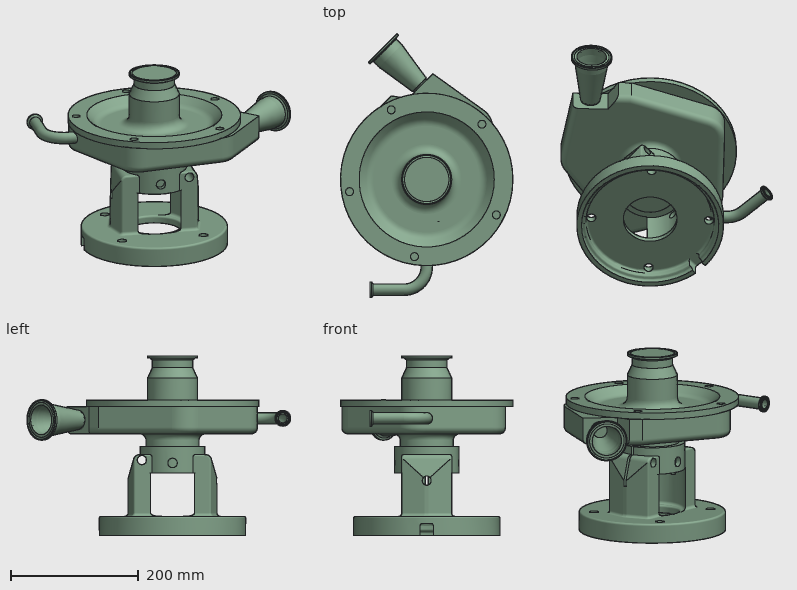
import cadquery as cq
import math

DIAGONAL = math.sqrt(0.5)


lantern_base_top = 30.0
collar_bottom = 97.5
leg_top = 127.0
collar_top = 139.5
casing_bottom = 159.0
flange_bottom = 201.5
flange_top = 212.0
top_of_pump = 281.5

overall_length = 413

flange_radius = 135.0
bolt_circle_radius = 122.3
bolt_hole_radius = 6.0
bolt_count = 5
first_bolt_angle = 45
side_offset = 115.2
corner_radius = 35.0
casing_fillet = 10.0
tangent_side_angle = 54.3
tangent_side_offset = 140.0
outlet_angle = 135
outlet_face_offset = 110.3
bevel_offset = 131.8
notch_side_offset = 120.5

dish_rim_radius = 105.7
dish_wall_foot_radius = 94.5
dish_floor_radius = 83.5
dish_depth = 15.5
dish_wall_angle = 45
neck_radius = 39.2
neck_fillet = 15.3

neck_shoulder = 246.5
neck_cone_top = 262.5
inlet_radius = 32.0

stub_radius = 41.7

tolerance = 0.5

outlet_axis_shift = 96.5
outlet_height = 181.0
outlet_face = 194
outlet_cone_start = 112.8
outlet_cone_end = 176.5
outlet_throat_radius = 13.2
outlet_small_radius = 15.3
outlet_large_radius = 25.0
outlet_ferrule_radius = 32.0
outlet_wall = 2.0
outlet_bore_shoulder = 181.0
outlet_bore_waist = 168.5
outlet_bore_waist_radius = 21.5

drain_height = 183.5
drain_radius = 9.0
drain_bore_radius = 7.0
drain_bend_radius = 35.5
drain_end_x = -89.0
drain_ferrule_radius = 12.5
drain_lip = 2.5

outlet_rim_y = (outlet_face + outlet_axis_shift + outlet_ferrule_radius) * DIAGONAL
drain_end_y = outlet_rim_y - overall_length + drain_ferrule_radius
drain_bend_y = drain_end_y + drain_bend_radius

ferrule_lip = 3.5
ferrule_taper = 3.5
groove_half_width = 1.45
groove_inset = 3.1

base_radius = 115.0
base_edge_fillet = 3.5
base_bolt_circle_radius = 92.0
base_bolt_radius = 7.0
base_bolt_count = 4
base_first_bolt_angle = 45
base_bore_radius = 42.0
base_bore_rounding = 3.5
recess_height = 18.5
recess_radius = 100.5
spigot_radius = 107.5
spigot_depth = 2.5
recess_round = 3.7
key_slot_width = 20.5
key_slot_fillet = 3.5

leg_half_width = 39.2
leg_corner_y = 60.5
leg_ridge_y = 70.0
leg_ridge_half_width = 3.5
leg_bore_radius = 52.0
leg_slope = 0.29
leg_slope_height = 122.0
leg_corner_fillet = 3.5
leg_top_fillet = 10.0
leg_foot_fillet = 5.0
leg_hole_height = 86.0
leg_hole_radius = 7.0

collar_radius = 51.0
collar_hole_height = 113.5
collar_hole_radius = 7.5
clamp_bolt_y = 48.0
clamp_bolt_height = 118.0
clamp_bolt_radius = 7.0
slit_width = 4


def polar(radius, angle):
    """Point at a radius and an angle in degrees."""
    return radius * math.cos(math.radians(angle)), radius * math.sin(math.radians(angle))


def crossing(angle_a, offset_a, angle_b, offset_b):
    """Point where two lines meet, each given by its normal's angle and its distance from the axis."""
    ax, ay = polar(1, angle_a)
    bx, by = polar(1, angle_b)
    det = ax * by - ay * bx
    return (offset_a * by - offset_b * ay) / det, (ax * offset_b - bx * offset_a) / det


def add_rounded_corner(sketch, angle_a, offset_a, angle_b, offset_b):
    """Run along side A to a corner arc that is tangent to sides A and B."""
    cx, cy = crossing(angle_a, offset_a - corner_radius, angle_b, offset_b - corner_radius)
    start, middle, end = [polar(corner_radius, a) for a in (angle_a, (angle_a + angle_b) / 2, angle_b)]
    sketch = sketch.lineTo(cx + start[0], cy + start[1])
    return sketch.threePointArc((cx + middle[0], cy + middle[1]), (cx + end[0], cy + end[1]))


def casing_body():
    """Five-sided casing with a square outlet block on one corner and a rounded lower edge."""
    pitch = 360 / bolt_count
    side_angles = [first_bolt_angle + pitch * (k + 0.5) for k in range(1, bolt_count)]
    notch_side_angle = first_bolt_angle + pitch / 2
    last_side_angle = side_angles[-1] - 360

    sketch = cq.Workplane("XY").workplane(offset=casing_bottom)
    sketch = sketch.moveTo(*crossing(outlet_angle, bevel_offset, side_angles[0], side_offset))
    for angle_a, angle_b in zip(side_angles[:-1], side_angles[1:]):
        sketch = add_rounded_corner(sketch, angle_a, side_offset, angle_b, side_offset)
    sketch = add_rounded_corner(sketch, last_side_angle, side_offset, tangent_side_angle, tangent_side_offset)
    sketch = sketch.lineTo(*crossing(tangent_side_angle, tangent_side_offset, outlet_angle, outlet_face_offset))
    sketch = sketch.lineTo(*crossing(outlet_angle, outlet_face_offset, notch_side_angle, notch_side_offset))
    sketch = sketch.lineTo(*crossing(notch_side_angle, notch_side_offset, outlet_angle, bevel_offset))
    body = sketch.close().extrude(flange_bottom - casing_bottom)

    face_x, face_y = polar(1, outlet_angle)
    side_x, side_y = polar(1, notch_side_angle)

    def is_rounded(edge):
        centre = edge.Center()
        on_outlet_face = abs(centre.x * face_x + centre.y * face_y - outlet_face_offset) < tolerance
        on_notch_side = abs(centre.x * side_x + centre.y * side_y - notch_side_offset) < tolerance
        return not (on_outlet_face or on_notch_side)

    rounded = body.faces("<Z").edges().filter(is_rounded)
    return body.newObject(rounded.vals()).fillet(casing_fillet)


def cover_and_neck():
    """Turned flange, dished cover, inlet neck with its ferrule, and the stub under the casing."""
    floor = flange_top - dish_depth
    arc_rise = 1 - DIAGONAL
    wall_slope = math.radians(dish_wall_angle)
    dish_fillet = (dish_wall_foot_radius - dish_floor_radius) / math.sin(wall_slope)
    dish_mid = (
        dish_floor_radius + dish_fillet * math.sin(wall_slope / 2),
        floor + dish_fillet * (1 - math.cos(wall_slope / 2)),
    )
    dish_foot_height = floor + dish_fillet * (1 - math.cos(wall_slope))
    neck_mid = (
        neck_radius + neck_fillet * arc_rise,
        floor + neck_fillet * arc_rise,
    )
    stub_mid = (
        stub_radius + casing_fillet * arc_rise,
        casing_bottom - casing_fillet * arc_rise,
    )
    lip_bottom = top_of_pump - ferrule_lip
    profile = (
        cq.Workplane("XZ")
        .moveTo(0, collar_bottom)
        .lineTo(stub_radius, collar_bottom)
        .lineTo(stub_radius, casing_bottom - casing_fillet)
        .threePointArc(stub_mid, (stub_radius + casing_fillet, casing_bottom))
        .lineTo(stub_radius + casing_fillet, flange_bottom - dish_depth)
        .lineTo(dish_rim_radius, flange_bottom - dish_depth)
        .lineTo(dish_rim_radius, flange_bottom)
        .lineTo(flange_radius, flange_bottom)
        .lineTo(flange_radius, flange_top)
        .lineTo(dish_rim_radius, flange_top)
        .lineTo(dish_wall_foot_radius, dish_foot_height)
        .threePointArc(dish_mid, (dish_floor_radius, floor))
        .lineTo(neck_radius + neck_fillet, floor)
        .threePointArc(neck_mid, (neck_radius, floor + neck_fillet))
        .lineTo(neck_radius, neck_shoulder)
        .lineTo(inlet_radius, neck_cone_top)
        .lineTo(inlet_radius, lip_bottom - ferrule_taper)
        .lineTo(neck_radius - ferrule_taper, lip_bottom)
        .lineTo(neck_radius, lip_bottom)
        .lineTo(neck_radius, top_of_pump)
        .lineTo(0, top_of_pump)
        .close()
    )
    cover = profile.revolve(360, (0, 0, 0), (0, 1, 0))
    return cover.cut(seal_groove(neck_radius, top_of_pump))


def seal_groove(rim_radius, height):
    """Half-round ring groove about Z in a ferrule face at the given height."""
    ring = cq.Workplane("XZ").center(rim_radius - groove_inset, height).circle(groove_half_width)
    return ring.revolve(360, (groove_inset - rim_radius, 0, 0), (groove_inset - rim_radius, 1, 0))


def outlet_pipe():
    """Hollow cone that widens from the outlet face to a clamp ferrule."""
    lip_back = outlet_face - ferrule_lip
    taper_start = lip_back - ferrule_taper / 2
    outside = [
        (0, outlet_face_offset),
        (outlet_throat_radius, outlet_face_offset),
        (outlet_throat_radius, outlet_cone_start),
        (outlet_small_radius, outlet_cone_start),
        (outlet_large_radius, outlet_cone_end),
        (outlet_large_radius, taper_start),
        (outlet_large_radius + ferrule_taper, lip_back),
        (outlet_ferrule_radius, lip_back),
        (outlet_ferrule_radius, outlet_face),
        (0, outlet_face),
    ]
    inside = [
        (0, outlet_face_offset),
        (outlet_throat_radius - outlet_wall, outlet_face_offset),
        (outlet_throat_radius - outlet_wall, outlet_cone_start),
        (outlet_bore_waist_radius, outlet_bore_waist),
        (outlet_large_radius - outlet_wall, outlet_bore_shoulder),
        (outlet_large_radius - outlet_wall, outlet_face),
        (0, outlet_face),
    ]
    pipe, bore = [
        cq.Workplane("XZ").polyline(points).close().revolve(360, (0, 0, 0), (0, 1, 0))
        for points in (outside, inside)
    ]
    pipe = pipe.cut(bore).cut(seal_groove(outlet_ferrule_radius, outlet_face))
    pipe = pipe.rotate((0, 0, 0), (0, 1, 0), 90)
    return pipe.translate((0, -outlet_axis_shift, outlet_height)).rotate((0, 0, 0), (0, 0, 1), outlet_angle)


def drain_path():
    """Out of the casing along -Y, round a quarter bend and along -X."""
    bend_x = -drain_bend_radius
    bend_middle = drain_bend_radius * DIAGONAL
    return (
        cq.Workplane("XY", origin=(0, 0, drain_height))
        .moveTo(0, -side_offset)
        .lineTo(0, drain_bend_y)
        .threePointArc((bend_x + bend_middle, drain_bend_y - bend_middle), (bend_x, drain_end_y))
        .lineTo(drain_end_x, drain_end_y)
    )


def drain_tube(radius):
    """Solid round bar along the drain path."""
    start = cq.Workplane("XZ", origin=(0, -side_offset, drain_height))
    return start.circle(radius).sweep(drain_path())


def drain_ferrule():
    """Clamp ferrule on the end of the drain pipe."""
    profile = [
        (0, 0),
        (drain_ferrule_radius, 0),
        (drain_ferrule_radius, drain_lip),
        (drain_radius, 2 * drain_lip),
        (0, 2 * drain_lip),
    ]
    ferrule = cq.Workplane("XZ").polyline(profile).close().revolve(360, (0, 0, 0), (0, 1, 0))
    ferrule = ferrule.cut(seal_groove(drain_ferrule_radius, 0))
    return ferrule.rotate((0, 0, 0), (0, 1, 0), 90).translate((drain_end_x, drain_end_y, drain_height))


def make_pump_head():
    """Casing, cover, neck, stub, outlet and drain as one solid."""
    dish_room = (
        cq.Workplane("XY")
        .workplane(offset=flange_bottom - dish_depth)
        .circle(dish_rim_radius)
        .extrude(dish_depth)
    )
    head = casing_body().cut(dish_room).union(cover_and_neck()).union(outlet_pipe())
    head = head.union(drain_tube(drain_radius)).union(drain_ferrule())
    head = head.cut(drain_tube(drain_bore_radius))
    bolt_holes = (
        cq.Workplane("XY")
        .workplane(offset=flange_bottom)
        .polarArray(bolt_circle_radius, first_bolt_angle, 360, bolt_count)
        .circle(bolt_hole_radius)
        .extrude(flange_top - flange_bottom)
    )
    return head.cut(bolt_holes)


def leg():
    """Front leg before its foot is rounded: a ridged post with a sloped upper face."""
    leg_height = leg_top - lantern_base_top
    plan = [
        (-leg_half_width, 0),
        (-leg_half_width, -leg_corner_y),
        (-leg_ridge_half_width, -leg_ridge_y),
        (leg_ridge_half_width, -leg_ridge_y),
        (leg_half_width, -leg_corner_y),
        (leg_half_width, 0),
    ]
    post = cq.Workplane("XY").workplane(offset=lantern_base_top).polyline(plan).close().extrude(leg_height)
    corners = cq.selectors.BoxSelector(
        (-base_radius, -leg_corner_y - tolerance, 0),
        (base_radius, -leg_corner_y + tolerance, leg_top),
    )
    post = post.edges("|Z").edges(corners).fillet(leg_corner_fillet)

    top_y = -leg_corner_y + leg_slope * (leg_top - leg_slope_height)
    side_profile = [
        (0, lantern_base_top),
        (0, leg_top),
        (top_y, leg_top),
        (top_y - leg_slope * leg_height, lantern_base_top),
    ]
    slab = cq.Workplane("YZ").polyline(side_profile).close().extrude(leg_half_width, both=True)
    slab = slab.faces(">Z").edges("<Y").fillet(leg_top_fillet)
    slab = slab.faces(">Z").edges("|Y").fillet(leg_corner_fillet)
    return post.intersect(slab)


def lantern_base():
    """Round foot with a bore and a stepped recess underneath."""
    spigot_step = spigot_radius - recess_radius - recess_round
    rise = recess_round * DIAGONAL
    step_height = spigot_depth + recess_round
    disc = cq.Workplane("XY").circle(base_radius).extrude(lantern_base_top)
    disc = disc.faces(">Z").edges().fillet(base_edge_fillet)
    disc = disc.cut(cq.Workplane("XY").circle(base_bore_radius).extrude(lantern_base_top))
    bore_rim = disc.faces(">Z").edges(cq.selectors.RadiusNthSelector(0))
    disc = bore_rim.fillet(base_bore_rounding)
    recess = (
        cq.Workplane("XZ")
        .moveTo(0, 0)
        .lineTo(spigot_radius, 0)
        .lineTo(spigot_radius, spigot_depth)
        .threePointArc(
            (spigot_radius - recess_round + rise, spigot_depth + rise),
            (spigot_radius - recess_round, step_height),
        )
        .threePointArc(
            (recess_radius + spigot_step * (1 - DIAGONAL), step_height + spigot_step * (1 - DIAGONAL)),
            (recess_radius, step_height + spigot_step),
        )
        .lineTo(recess_radius, recess_height - recess_round)
        .threePointArc(
            (recess_radius - recess_round + rise, recess_height - recess_round + rise),
            (recess_radius - recess_round, recess_height),
        )
        .lineTo(0, recess_height)
        .close()
        .revolve(360, (0, 0, 0), (0, 1, 0))
    )
    return disc.cut(recess)


def make_lantern():
    """Base, two legs and the split clamping collar as one solid."""
    lantern = lantern_base()
    front_leg = leg()
    legs = front_leg.union(front_leg.mirror("XZ"))
    leg_bore = cq.Workplane("XY").workplane(offset=lantern_base_top).circle(leg_bore_radius)
    legs = legs.cut(leg_bore.extrude(collar_bottom - lantern_base_top))
    lantern = lantern.union(legs)

    def is_leg_foot(edge):
        box = edge.BoundingBox()
        on_base_top = max(abs(box.zmin - lantern_base_top), abs(box.zmax - lantern_base_top)) < tolerance
        is_full_ring = edge.IsClosed()
        return on_base_top and not is_full_ring

    feet = lantern.edges().filter(is_leg_foot)
    lantern = lantern.newObject(feet.vals()).fillet(leg_foot_fillet)

    collar = cq.Workplane("XY").workplane(offset=collar_bottom).circle(collar_radius)
    lantern = lantern.union(collar.extrude(collar_top - collar_bottom))
    stub_bore = cq.Workplane("XY").workplane(offset=collar_bottom).circle(stub_radius)
    lantern = lantern.cut(stub_bore.extrude(collar_top - collar_bottom))

    base_holes = (
        cq.Workplane("XY")
        .polarArray(base_bolt_circle_radius, base_first_bolt_angle, 360, base_bolt_count)
        .circle(base_bolt_radius)
        .extrude(lantern_base_top)
    )
    leg_hole = cq.Workplane("XZ").center(0, leg_hole_height).circle(leg_hole_radius).extrude(base_radius)
    collar_holes = (
        cq.Workplane("YZ")
        .center(0, collar_hole_height)
        .circle(collar_hole_radius)
        .extrude(base_radius, both=True)
    )
    clamp_hole = (
        cq.Workplane("YZ")
        .center(clamp_bolt_y, clamp_bolt_height)
        .circle(clamp_bolt_radius)
        .extrude(base_radius, both=True)
    )
    slit_bottom = leg_hole_height - leg_hole_radius
    slit = cq.Workplane("XY").workplane(offset=slit_bottom).center(0, base_radius / 2)
    slit = slit.rect(slit_width, base_radius).extrude(collar_top - slit_bottom)
    key_slot = (
        cq.Workplane("XY")
        .center(0, -base_radius / 2)
        .rect(key_slot_width, base_radius)
        .extrude(recess_height)
        .edges("|Y and >Z")
        .fillet(key_slot_fillet)
    )
    for cutter in (base_holes, leg_hole, collar_holes, clamp_hole, slit, key_slot):
        lantern = lantern.cut(cutter)
    return lantern


pump_head = make_pump_head()
lantern = make_lantern()
result = cq.Compound.makeCompound([pump_head.solids().val(), lantern.solids().val()])